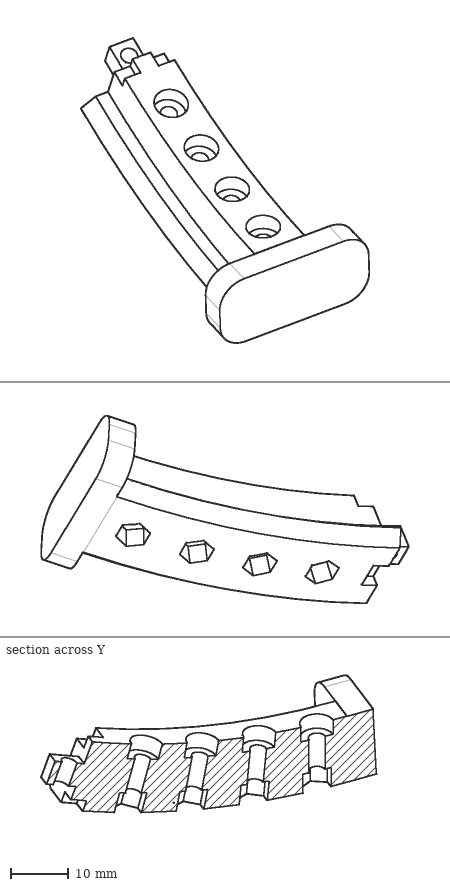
import cadquery as cq

outer_radius = 138.7
rail_height = 14.05
rail_width = 20.0
flat_width = 15.0
web_width = 10.0
foot_height = 5.0
tip_angle = 20.0
plate_angle = 2.6

plate_width = 30.0
plate_height = 14.0
plate_thickness = 5.0
plate_corner_radius = 5.0

hole_diameter = 3.0
counterbore_diameter = 6.0
counterbore_depth = 3.0
nut_corner_width = 6.1
nut_pocket_depth = 4.0
hole_count = 4
hole_pitch_angle = 5.0

tang_length = 5.9
tang_width = 4.75
tang_height = 4.75
tang_bottom = 4.75
step_length = 3.0
step_depth = 2.4
tenon_width = 3.65
slot_length = 3.15
slot_depth = 2.1
slot_width = 5.2

cut_margin = 1.25


def swing(shape, angle):
    """Turn a shape about the sweep axis; positive angles move it towards -X."""
    return shape.rotate((0, 0, outer_radius), (0, 1, outer_radius), angle)


def block(x_start, length, width, bottom, height):
    """Box starting at x_start and bottom, centred on Y = 0."""
    return cq.Workplane("XY").box(length, width, height, centered=(False, True, False)).translate(
        (x_start, 0, bottom)
    )


def make_rail():
    half_section = [
        (0, 0),
        (flat_width / 2, 0),
        (rail_width / 2, foot_height / 2),
        (flat_width / 2, foot_height),
        (web_width / 2, foot_height),
        (web_width / 2, rail_height),
        (0, rail_height),
    ]
    section = cq.Workplane("YZ").polyline(half_section).mirrorY()
    rail = section.revolve(tip_angle + plate_angle, (0, outer_radius), (1, outer_radius))
    return swing(rail, -plate_angle)


def make_plate():
    plate = block(0, plate_thickness, plate_width, 0, plate_height)
    plate = plate.edges("|X").fillet(plate_corner_radius)
    return swing(plate, -plate_angle)


def make_tang():
    tang = block(-tang_length, tang_length + cut_margin, tang_width, tang_bottom, tang_height)
    return swing(tang, tip_angle)


def make_tang_hole():
    drill = cq.Workplane("XY").circle(hole_diameter / 2).extrude(tang_height + 2 * cut_margin)
    drill = drill.translate((-tang_length / 2, 0, tang_bottom - cut_margin))
    return swing(drill, tip_angle)


def make_hole(angle):
    drill = cq.Workplane("XY").workplane(offset=-cut_margin)
    drill = drill.circle(hole_diameter / 2).extrude(rail_height + 2 * cut_margin)
    counterbore = cq.Workplane("XY").workplane(offset=rail_height - counterbore_depth)
    counterbore = counterbore.circle(counterbore_diameter / 2).extrude(counterbore_depth + cut_margin)
    nut_pocket = cq.Workplane("XY").polygon(6, nut_corner_width).extrude(nut_pocket_depth + cut_margin)
    nut_pocket = nut_pocket.rotate((0, 0, 0), (0, 0, 1), 90).translate((0, 0, -cut_margin))
    return swing(drill.union(counterbore).union(nut_pocket), angle)


def make_corner_steps():
    length = step_length + cut_margin
    bottom = rail_height - step_depth
    height = step_depth + cut_margin
    full = block(-cut_margin, length, web_width + 2 * cut_margin, bottom, height)
    tenon = block(-cut_margin, length, tenon_width, bottom, height)
    return swing(full.cut(tenon), tip_angle)


def make_slot():
    slot = block(-cut_margin, slot_length + cut_margin, slot_width, -cut_margin, slot_depth + cut_margin)
    return swing(slot, tip_angle)


result = make_rail().union(make_plate()).union(make_tang())
result = result.cut(make_tang_hole()).cut(make_corner_steps()).cut(make_slot())
for index in range(hole_count):
    result = result.cut(make_hole(index * hole_pitch_angle))